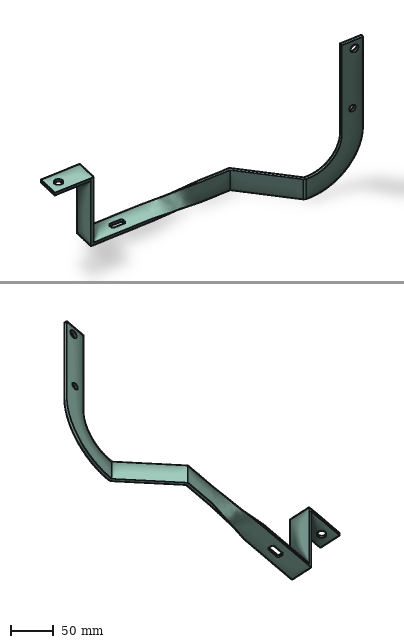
import cadquery as cq
import math

width = 30.0
thickness = 4.0

total_length = 398.5
total_height = 207.0
total_width = 80.0

jog_start = 80.0
twist_start = 186.5
twist_end = 262.5
riser_back = 344.0
riser_front = riser_back + thickness

jog_angle = 45.0

arm_outer_radius = 75.0
arm_inner_radius = arm_outer_radius - width
arm_inner_x = total_width - thickness

strip_low = (width - thickness) / 2
strip_high = strip_low + thickness

riser_height = 101.0
tab_top = strip_low + riser_height

arm_top_hole = {"diameter": 11.0, "from_back": 12.0, "below_top": 12.5}
arm_lower_hole = {"diameter": 9.0, "from_back": 15.0, "below_top": 100.0}
tab_hole_diameter = 11.0
tab_hole_from_end = 15.0
slot_width = 8.5
slot_length = 19.0
slot_corner_radius = 2.5
slot_from_twist = 39.0


def make_upright_arm():
    """J-shaped plate: a vertical leg, a quarter turn and a short foot ending at the jog."""
    turn = arm_outer_radius
    half_turn = math.radians(45)
    outer_mid = turn - arm_outer_radius * math.cos(half_turn)
    inner_mid = turn - arm_inner_radius * math.cos(half_turn)
    return (
        cq.Workplane("YZ", origin=(arm_inner_x, 0, 0))
        .moveTo(0, total_height)
        .lineTo(0, turn)
        .threePointArc((-outer_mid, outer_mid), (-turn, 0))
        .lineTo(-jog_start, 0)
        .lineTo(-jog_start, width)
        .lineTo(-turn, width)
        .threePointArc((-inner_mid, inner_mid), (-width, turn))
        .lineTo(-width, total_height)
        .close()
        .extrude(thickness)
    )


def make_jog():
    """Edge-on strip: a diagonal run from the arm to the centre line, then a straight run.

    The diagonal starts square at the arm, so a small facet bridges the outside of that bend.
    """
    jog_end = jog_start + (arm_inner_x - strip_low) / math.tan(math.radians(jog_angle))
    square_corner = thickness * math.cos(math.radians(jog_angle))
    square_rise = thickness * math.sin(math.radians(jog_angle))
    mitre = thickness * math.tan(math.radians(jog_angle / 2))
    return (
        cq.Workplane("XY")
        .moveTo(arm_inner_x, -jog_start)
        .lineTo(strip_low, -jog_end)
        .lineTo(strip_low, -twist_start)
        .lineTo(strip_high, -twist_start)
        .lineTo(strip_high, -(jog_end + mitre))
        .lineTo(arm_inner_x + square_corner, -(jog_start + square_rise))
        .lineTo(total_width, -jog_start)
        .close()
        .extrude(width)
    )


def make_twist():
    """Quarter twist from the edge-on section to the flat section, joined by straight rulings."""
    back = [
        cq.Vector(x, -twist_start, z)
        for x, z in ((strip_low, 0), (strip_high, 0), (strip_high, width), (strip_low, width))
    ]
    front = [
        cq.Vector(x, -twist_end, z)
        for x, z in ((width, strip_low), (width, strip_high), (0, strip_high), (0, strip_low))
    ]
    faces = [
        cq.Face.makeFromWires(cq.Wire.makePolygon(corners, close=True))
        for corners in (back, front)
    ]
    for i in range(len(back)):
        j = (i + 1) % len(back)
        back_edge = cq.Edge.makeLine(back[i], back[j])
        front_edge = cq.Edge.makeLine(front[i], front[j])
        faces.append(cq.Face.makeRuledSurface(back_edge, front_edge))
    return cq.Workplane(cq.Solid.makeSolid(cq.Shell.makeShell(faces)))


def make_flat_strip():
    """Flat strip, riser and tab, bent as one Z-shaped profile."""
    return (
        cq.Workplane("YZ")
        .moveTo(-twist_end, strip_low)
        .lineTo(-riser_front, strip_low)
        .lineTo(-riser_front, tab_top - thickness)
        .lineTo(-total_length, tab_top - thickness)
        .lineTo(-total_length, tab_top)
        .lineTo(-riser_back, tab_top)
        .lineTo(-riser_back, strip_high)
        .lineTo(-twist_end, strip_high)
        .close()
        .extrude(width)
    )


def cut_arm_hole(body, hole):
    """Round hole through the upright arm along X."""
    cutter = (
        cq.Workplane("YZ", origin=(arm_inner_x, 0, 0))
        .center(-hole["from_back"], total_height - hole["below_top"])
        .circle(hole["diameter"] / 2)
        .extrude(thickness)
    )
    return body.cut(cutter)


def cut_tab_hole(body):
    """Round hole through the tab along Z."""
    cutter = (
        cq.Workplane("XY", origin=(width / 2, -total_length + tab_hole_from_end, tab_top))
        .circle(tab_hole_diameter / 2)
        .extrude(-thickness)
    )
    return body.cut(cutter)


def cut_slot(body):
    """Lengthwise round-cornered slot through the flat strip."""
    cutter = (
        cq.Workplane("XY", origin=(width / 2, -twist_end - slot_from_twist, strip_low))
        .rect(slot_width, slot_length)
        .extrude(thickness)
        .edges("|Z")
        .fillet(slot_corner_radius)
    )
    return body.cut(cutter)


body = make_upright_arm().union(make_jog()).union(make_twist()).union(make_flat_strip())
for arm_hole in (arm_top_hole, arm_lower_hole):
    body = cut_arm_hole(body, arm_hole)
body = cut_tab_hole(body)
result = cut_slot(body)